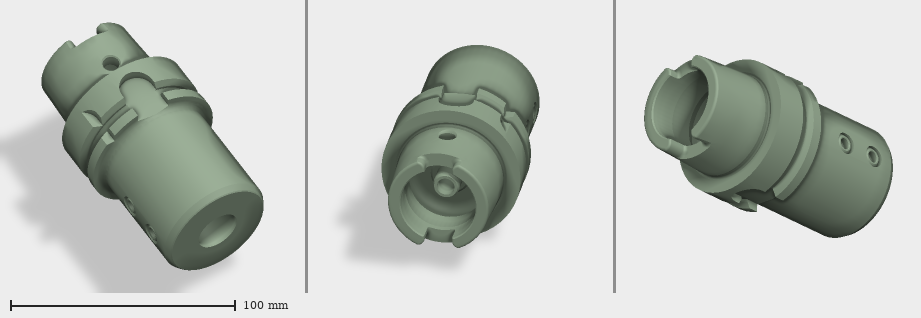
import cadquery as cq
import math


LENGTH = 112.0
FLANGE_FRONT = 32.0
FLANGE_WIDTH = 26.0
FLANGE_BACK = FLANGE_FRONT + FLANGE_WIDTH
GAUGE_X = 25.6
TAPER_END = 29.7

FLANGE_R = 31.5
BODY_R = 52.1 / 2
GAUGE_R = 48.0 / 2
TAPER_SLOPE = 1 / 20
RIM_FILLET = 1.2

NECK_X = 30.7
NECK_R = 24.0
NECK_FILLET = 0.7
FACE_RECESS_R = 25.4
FACE_RECESS_DEPTH = 0.3

GROOVE_CENTER = 49.8
GROOVE_FLOOR_WIDTH = 3.7
GROOVE_R = 27.5
GROOVE_WALL_R = 28.7
GROOVE_FLARE = 1.6

BODY_FILLET = 2.8
LONG_CHAMFER_LENGTH = 3.2
LONG_CHAMFER_DROP = 1.6
END_CHAMFER = 0.5

BORE_R = 17.0
BORE_MOUTH_CHAMFER = 0.6
RELIEF_X = 12.8
RELIEF_R = 17.2
SHOULDER_X = 23.7
SHOULDER_ANGLE = 30.0
CHAMBER_R = 40.0 / 2
CHAMBER_FLOOR_X = 35.8
CHAMBER_FLOOR_FILLET = 4.3

TUBE_TIP_X = 19.2
TUBE_TIP_R = 5.3
TUBE_R = 12.0 / 2
TUBE_TAPER_LENGTH = 2.0
NUT_R = 18.0 / 2
NUT_CHAMFER = 1.0
NUT_HEIGHT = 5.6
COOLANT_R = 8.0 / 2

SHANK_BORE_R = 20.0 / 2
SHANK_BORE_DEPTH = 52.0

NOTCH_HALF_WIDTH = 6.3
NOTCH_EDGE_RADIUS = 3.1
NOTCH_EDGE_Z = 35.0 / 2
NOTCH_FLOOR_FILLET = 1.5
NOTCH_MOUTH_FILLET = 1.0
TOP_NOTCH_DEPTH = 5.9
BOTTOM_NOTCH_DEPTH = 10.0

SLOT_R = 8.0
KEY_SLOT_X = 44.7
KEY_SLOT_Z = 26.5
MARK_SLOT_X = 43.9
MARK_SLOT_WALL_Y = -20.2
MARK_SLOT_Z = 20.0

ACCESS_X = 23.0
ACCESS_R = 7.5 / 2
ACCESS_SINK_R = 4.7

SCREW_XS = (79.9, 97.8)
SCREW_R = 10.0 / 2
SCREW_SHOULDER_DEPTH = 2.1
SCREW_TIP_R = 3.5
SOCKET_R = 2.9
SOCKET_CHAMFER = 0.3
SOCKET_DEPTH = 3.4
SOCKET_CONE_ANGLE = 30.0

OVERCUT = 1.1


def taper_radius(x):
    return GAUGE_R + (x - GAUGE_X) * TAPER_SLOPE


def revolve_x(profile):
    """Turn a closed (x, radius) outline about the X axis."""
    return profile.close().revolve(360, (0, 0, 0), (1, 0, 0))


def half_turn(part):
    return part.rotate((0, 0, 0), (1, 0, 0), 180)


def outer_body():
    fillet_mid = BODY_FILLET * (1 - math.sqrt(0.5))
    groove_front = GROOVE_CENTER - GROOVE_FLOOR_WIDTH / 2
    groove_back = GROOVE_CENTER + GROOVE_FLOOR_WIDTH / 2
    recess_x = FLANGE_FRONT + FACE_RECESS_DEPTH
    neck_mid = NECK_FILLET * (1 - math.sqrt(0.5))
    chamfer_r = BODY_R - LONG_CHAMFER_DROP
    profile = (
        cq.Workplane("XY")
        .lineTo(0, taper_radius(0))
        .lineTo(TAPER_END, taper_radius(TAPER_END))
        .lineTo(NECK_X, NECK_R)
        .lineTo(recess_x - NECK_FILLET, NECK_R)
        .threePointArc((recess_x - neck_mid, NECK_R + neck_mid), (recess_x, NECK_R + NECK_FILLET))
        .lineTo(FLANGE_FRONT, FACE_RECESS_R)
        .lineTo(FLANGE_FRONT, FLANGE_R)
        .lineTo(groove_front - GROOVE_FLARE, FLANGE_R)
        .lineTo(groove_front, GROOVE_WALL_R)
        .lineTo(groove_front, GROOVE_R)
        .lineTo(groove_back, GROOVE_R)
        .lineTo(groove_back, GROOVE_WALL_R)
        .lineTo(groove_back + GROOVE_FLARE, FLANGE_R)
        .lineTo(FLANGE_BACK, FLANGE_R)
        .lineTo(FLANGE_BACK, BODY_R + BODY_FILLET)
        .threePointArc((FLANGE_BACK + fillet_mid, BODY_R + fillet_mid), (FLANGE_BACK + BODY_FILLET, BODY_R))
        .lineTo(LENGTH - LONG_CHAMFER_LENGTH, BODY_R)
        .lineTo(LENGTH - END_CHAMFER, chamfer_r)
        .lineTo(LENGTH, chamfer_r - END_CHAMFER)
        .lineTo(LENGTH, 0)
    )
    return revolve_x(profile)


def clamping_cavity():
    """Bore and chamber inside the taper, with the nut and coolant tube left standing."""
    shoulder_end = SHOULDER_X + (CHAMBER_R - RELIEF_R) / math.tan(math.radians(SHOULDER_ANGLE))
    floor_mid = CHAMBER_FLOOR_FILLET * (1 - math.sqrt(0.5))
    nut_x = CHAMBER_FLOOR_X - NUT_HEIGHT
    profile = (
        cq.Workplane("XY")
        .lineTo(0, BORE_R)
        .lineTo(RELIEF_X, BORE_R)
        .lineTo(RELIEF_X, RELIEF_R)
        .lineTo(SHOULDER_X, RELIEF_R)
        .lineTo(shoulder_end, CHAMBER_R)
        .lineTo(CHAMBER_FLOOR_X - CHAMBER_FLOOR_FILLET, CHAMBER_R)
        .threePointArc(
            (CHAMBER_FLOOR_X - floor_mid, CHAMBER_R - floor_mid),
            (CHAMBER_FLOOR_X, CHAMBER_R - CHAMBER_FLOOR_FILLET),
        )
        .lineTo(CHAMBER_FLOOR_X, NUT_R)
        .lineTo(nut_x + NUT_CHAMFER, NUT_R)
        .lineTo(nut_x, NUT_R - NUT_CHAMFER)
        .lineTo(nut_x, TUBE_R)
        .lineTo(TUBE_TIP_X + TUBE_TAPER_LENGTH, TUBE_R)
        .lineTo(TUBE_TIP_X, TUBE_TIP_R)
        .lineTo(TUBE_TIP_X, 0)
    )
    return revolve_x(profile)


def center_bores():
    coolant = cq.Workplane("YZ").circle(COOLANT_R).extrude(LENGTH)
    shank = cq.Workplane("YZ", origin=(LENGTH, 0, 0)).circle(SHANK_BORE_R).extrude(-SHANK_BORE_DEPTH)
    return coolant.union(shank)


def drive_notch(depth):
    """Notch cutter on the +Z side: straight walls that round outwards near the outside."""
    arc_end_y = NOTCH_HALF_WIDTH + NOTCH_EDGE_RADIUS
    arc_end_z = NOTCH_EDGE_Z + NOTCH_EDGE_RADIUS
    arc_mid = NOTCH_EDGE_RADIUS * (1 - math.sqrt(0.5))
    side = arc_end_y + 2 * OVERCUT
    half_outline = (
        cq.Workplane("YZ", origin=(-OVERCUT, 0, 0))
        .moveTo(0, BORE_R / 2)
        .lineTo(NOTCH_HALF_WIDTH, BORE_R / 2)
        .lineTo(NOTCH_HALF_WIDTH, NOTCH_EDGE_Z)
        .threePointArc((NOTCH_HALF_WIDTH + arc_mid, arc_end_z - arc_mid), (arc_end_y, arc_end_z))
        .lineTo(side, arc_end_z)
        .lineTo(side, GAUGE_R + OVERCUT)
        .lineTo(0, GAUGE_R + OVERCUT)
    )
    cutter = half_outline.mirrorY().extrude(depth + OVERCUT)
    return cutter.faces(">X").edges("not |Y").fillet(NOTCH_FLOOR_FILLET)


def cut_drive_notch(part, depth):
    """Cut the +Z notch and round its walls where they meet the end face."""
    notched = part.cut(drive_notch(depth))
    reach = NOTCH_HALF_WIDTH + NOTCH_EDGE_RADIUS + OVERCUT
    wall_edges = cq.selectors.BoxSelector((-OVERCUT, -reach, BORE_R / 2), (OVERCUT, reach, GAUGE_R))
    return notched.faces("<X").edges(wall_edges).fillet(NOTCH_MOUTH_FILLET)


def bore_mouth():
    """Chamfer at the open end of the clamping bore."""
    profile = (
        cq.Workplane("XY")
        .lineTo(0, BORE_R + BORE_MOUTH_CHAMFER)
        .lineTo(BORE_MOUTH_CHAMFER, BORE_R)
        .lineTo(BORE_MOUTH_CHAMFER, 0)
    )
    return revolve_x(profile)


def rim_rounding():
    """Ring of stock outside the rounded outer rim of the open end."""
    rim_r = taper_radius(RIM_FILLET)
    rim_mid = RIM_FILLET * (1 - math.sqrt(0.5))
    profile = (
        cq.Workplane("XY")
        .moveTo(0, rim_r - RIM_FILLET)
        .threePointArc((rim_mid, rim_r - rim_mid), (RIM_FILLET, rim_r))
        .lineTo(RIM_FILLET, rim_r + OVERCUT)
        .lineTo(0, rim_r + OVERCUT)
    )
    return revolve_x(profile)


def round_slot(x, y, floor_z):
    """Slot cutter with a round front end, running out of the back of the flange."""
    length = FLANGE_BACK + BODY_FILLET - x
    height = FLANGE_R + OVERCUT - floor_z
    base = cq.Workplane("XY", origin=(x, y, floor_z))
    straight = base.rect(length, 2 * SLOT_R).extrude(height).translate((length / 2, 0, 0))
    return base.circle(SLOT_R).extrude(height).union(straight)


def access_hole():
    """Countersunk radial hole through the top wall of the taper."""
    surface_r = taper_radius(ACCESS_X)
    sink = ACCESS_SINK_R - ACCESS_R
    hole = (
        cq.Workplane("XZ", origin=(ACCESS_X, 0, 0))
        .moveTo(0, BORE_R - OVERCUT)
        .lineTo(ACCESS_R, BORE_R - OVERCUT)
        .lineTo(ACCESS_R, surface_r - sink)
        .lineTo(ACCESS_SINK_R + OVERCUT, surface_r + OVERCUT)
        .lineTo(0, surface_r + OVERCUT)
        .close()
    )
    return hole.revolve(360, (0, 0, 0), (0, 1, 0))


def screw_recess(x):
    """What is open around a sunk set screw: the hole above it and its socket."""
    shoulder_r = BODY_R - SCREW_SHOULDER_DEPTH
    tip_r = shoulder_r + SCREW_R - SCREW_TIP_R
    bore_r = SOCKET_R - SOCKET_CHAMFER
    socket_bottom = tip_r - SOCKET_DEPTH
    cone_tip = socket_bottom - bore_r * math.tan(math.radians(SOCKET_CONE_ANGLE))
    profile = (
        cq.Workplane("XY", origin=(x, 0, 0))
        .moveTo(0, -cone_tip)
        .lineTo(bore_r, -socket_bottom)
        .lineTo(bore_r, -tip_r + SOCKET_CHAMFER)
        .lineTo(SOCKET_R, -tip_r)
        .lineTo(SCREW_TIP_R, -tip_r)
        .lineTo(SCREW_R, -shoulder_r)
        .lineTo(SCREW_R, -BODY_R - OVERCUT)
        .lineTo(0, -BODY_R - OVERCUT)
        .close()
    )
    return profile.revolve(360, (0, 0, 0), (0, 1, 0))


holder = outer_body().cut(clamping_cavity()).cut(center_bores())

holder = cut_drive_notch(holder, TOP_NOTCH_DEPTH)
holder = half_turn(cut_drive_notch(half_turn(holder), BOTTOM_NOTCH_DEPTH))
holder = holder.cut(bore_mouth()).cut(rim_rounding())

key_slot = round_slot(KEY_SLOT_X, 0, KEY_SLOT_Z)
holder = holder.cut(key_slot)
holder = holder.cut(half_turn(key_slot))
holder = holder.cut(round_slot(MARK_SLOT_X, MARK_SLOT_WALL_Y - SLOT_R, MARK_SLOT_Z))

holder = holder.cut(access_hole())
for screw_x in SCREW_XS:
    holder = holder.cut(screw_recess(screw_x))

result = holder